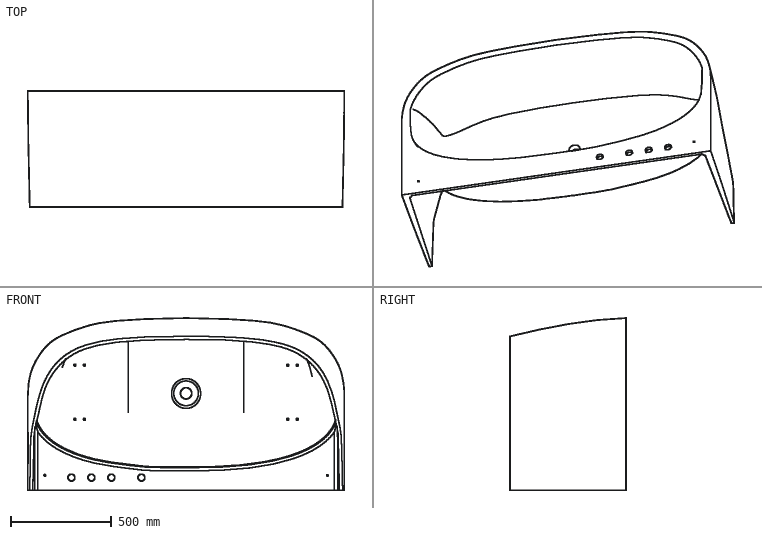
import cadquery as cq
import math


length = 1580.0
depth = 580.0
rim_height = 860.0

half_length = length / 2
rim_shoulder = 363.0
front_height = 768.0
front_foot = 780.0
front_shoulder_x = 773.0
front_shoulder = 280.0
arch_stations = [
    (762.0, 623.0, 345.0),
    (733.0, 673.0, 470.0),
    (676.0, 738.0, 597.0),
    (572.0, 793.0, 694.0),
    (457.0, 830.0, 736.0),
    (286.0, 850.0, 760.0),
]
taper_power = 1.6
skirt_sections = 4

deck_thickness = 16.0
skirt_edge_wall = 16.0
skirt_root_wall = 35.0
root_chamfer = 16.0
bowl_wall = 16.0
floor_wall = 22.0

floor_depth = 436.0
bowl_axis_z = 435.0
bowl_half_length = 762.0
bowl_drop = 322.0
bowl_rise = 569.0
bowl_lower_power = 2.5
bowl_upper_power = 3.0
floor_half_length = 698.0
floor_drop = 269.0
floor_rise = 505.0
floor_lower_power = 2.4
floor_upper_power = 2.6
floor_fillet = 92.0
oval_points = 6

end_ramp_start = 410.0
end_ramp_break = 445.0
end_ramp_full = 480.0
end_ramp_step = 0.5
end_setback = 2.0
panel_half_length = 288.0
panel_bottom = 389.0
panel_break = 599.0
panel_crest = 3.0
panel_top = panel_crest / 2
drain_z = 483.0
drain_base_radius = 76.0
drain_face_radius = 62.0
drain_height = 13.0
drain_hole = 55.0

tap_hole = 33.0
tap_start = -572.0
tap_pitch = 100.0
spout_gap = 150.0
tap_xs = [tap_start + i * tap_pitch for i in range(3)]
tap_xs.append(tap_xs[-1] + spout_gap)
tap_z = 63.0
fixing_hole = 6.0
fixing_x = 705.0
fixing_z = 75.0
foot_hole = 10.0
foot_hole_depth = 10.0
foot_xs = [507.0, 555.0]
foot_zs = [354.0, 624.0]


def plane_at(y):
    """Drawing plane at the given Y whose local axes are X and Z."""
    return cq.Plane(origin=(0, y, 0), xDir=(1, 0, 0), normal=(0, -1, 0))


def between(start, end, share):
    return start + (end - start) * share


def loft(wires):
    return cq.Workplane(obj=cq.Solid.makeLoft(wires))


def arch_wire(y, inset, flat_sides):
    """Skirt outline at the given Y, drawn in by the inset, with straight or flowing sides."""
    share = (-y / depth) ** taper_power
    foot = between(half_length, front_foot, share)
    shoulder_x = between(half_length, front_shoulder_x, share)
    shoulder_z = between(rim_shoulder, front_shoulder, share)
    top = between(rim_height, front_height, share)
    scale_x = 1 - inset / half_length
    scale_z = 1 - inset / top

    right = [(shoulder_x, shoulder_z)]
    right += [(x, between(rim_z, front_z, share)) for x, rim_z, front_z in arch_stations]
    right += [(0, top)]
    right = [(x * scale_x, z * scale_z) for x, z in right]
    foot *= scale_x
    side_slope = (right[0][0] - foot, right[0][1])
    if flat_sides:
        start = right[0]
    else:
        start = (foot, 0)
        right = [start, ((foot + right[0][0]) / 2, right[0][1] / 2)] + right
    right_side = cq.Workplane(plane_at(y)).moveTo(-foot, 0).lineTo(foot, 0)
    if flat_sides:
        right_side = right_side.lineTo(*start)
    left = [(-x, z) for x, z in reversed(right)]
    return (
        right_side.spline(right[1:], tangents=[side_slope, (-1, 0)], includeCurrent=True)
        .spline(left[1:], tangents=[(-1, 0), (side_slope[0], -side_slope[1])], includeCurrent=True)
        .close()
        .val()
    )


def arch_body(start, start_inset, end_inset, flat_sides):
    """Solid arch from the given Y to the front edge."""
    wires = []
    for i in range(skirt_sections):
        share = i / (skirt_sections - 1)
        y = between(start, -depth, share)
        wires.append(arch_wire(y, between(start_inset, end_inset, share), flat_sides))
    return loft(wires)


def oval_wire(y, share, grow):
    """Bowl outline between rim (share 0) and floor (share 1), grown outwards and placed at the given Y."""
    across = between(bowl_half_length, floor_half_length, share) + grow
    drop = between(bowl_drop, floor_drop, share) + grow
    rise = between(bowl_rise, floor_rise, share) + grow
    lower_power = between(bowl_lower_power, floor_lower_power, share)
    upper_power = between(bowl_upper_power, floor_upper_power, share)
    right = [(0, bowl_axis_z - drop)]
    for i in range(1 - oval_points, oval_points):
        angle = math.pi / 2 * i / oval_points
        height, power = (rise, upper_power) if i > 0 else (drop, lower_power)
        x = across * math.cos(angle) ** (2 / power)
        z = height * math.copysign(abs(math.sin(angle)) ** (2 / power), i)
        right.append((x, bowl_axis_z + z))
    right.append((0, bowl_axis_z + rise))
    left = [(-x, z) for x, z in reversed(right)]
    return (
        cq.Workplane(plane_at(y))
        .moveTo(*right[0])
        .spline(right[1:], tangents=[(1, 0), (-1, 0)], includeCurrent=True)
        .spline(left[1:], tangents=[(-1, 0), (1, 0)], includeCurrent=True)
        .close()
        .val()
    )


def bowl_body(floor_y, grow):
    """Bowl from the rim to the given floor, with its floor edge rounded."""
    body = loft([oval_wire(0, 0, grow), oval_wire(floor_y, 1, grow)])
    return body.faces("<Y").edges().fillet(floor_fillet + grow)


def peg(x, z, diameter, start, length_along):
    """Cylinder that runs from the given Y towards -Y."""
    return cq.Workplane(plane_at(start)).center(x, z).circle(diameter / 2).extrude(length_along)


def end_relief(side):
    """Cutter that sets one end of the floor back behind a two-stage ramp."""
    outline = [
        (end_ramp_start, -floor_depth),
        (end_ramp_break, -floor_depth + end_ramp_step),
        (end_ramp_full, -floor_depth + end_setback),
        (half_length, -floor_depth + end_setback),
        (half_length, -depth),
        (end_ramp_start, -depth),
    ]
    outline = [(side * x, y) for x, y in outline]
    return cq.Workplane("XY").polyline(outline).close().extrude(rim_height)


deck_back = -deck_thickness
root_end = deck_back - root_chamfer
envelope = arch_body(0, 0, 0, False)
hollow = arch_body(root_end, skirt_root_wall, skirt_edge_wall, True)
root = loft(
    [
        arch_wire(deck_back, skirt_root_wall + root_chamfer, True),
        arch_wire(root_end, skirt_root_wall, True),
    ]
)

bowl = bowl_body(-floor_depth, 0)
for side in (-1, 1):
    bowl = bowl.cut(end_relief(side))
bowl_root = loft([oval_wire(deck_back, 0, root_chamfer), oval_wire(root_end, 0, 0)])

panel_back = -floor_depth + floor_wall / 2
panel_outline = [
    (panel_back, panel_bottom),
    (-floor_depth, panel_bottom),
    (-floor_depth - panel_crest, drain_z),
    (-floor_depth - panel_top, panel_break),
    (-floor_depth - panel_top, rim_height),
    (panel_back, rim_height),
]
panel = cq.Workplane("YZ").polyline(panel_outline).close().extrude(panel_half_length, both=True)

drain_boss = cq.Workplane(
    obj=cq.Solid.makeCone(
        drain_base_radius,
        drain_face_radius,
        drain_height,
        cq.Vector(0, -floor_depth, drain_z),
        cq.Vector(0, -1, 0),
    )
)
outside = bowl.union(bowl_root).union(panel).union(drain_boss)

tub = envelope.cut(hollow.union(root).cut(outside))

inside = bowl_body(-floor_depth + floor_wall, -bowl_wall)
skirt_limit = arch_body(0, skirt_root_wall, skirt_edge_wall, False)
tub = tub.cut(inside.intersect(skirt_limit))

foot_hole_end = -floor_depth + end_setback + foot_hole_depth
holes = [peg(0, drain_z, drain_hole, 0, depth)]
holes += [peg(x, tap_z, tap_hole, 0, deck_thickness) for x in tap_xs]
for side in (-1, 1):
    holes.append(peg(side * fixing_x, fixing_z, fixing_hole, 0, deck_thickness))
    for x in foot_xs:
        holes += [peg(side * x, z, foot_hole, foot_hole_end, depth + foot_hole_end) for z in foot_zs]
cutters = cq.Workplane(obj=cq.Compound.makeCompound([hole.val() for hole in holes]))

result = tub.cut(cutters)